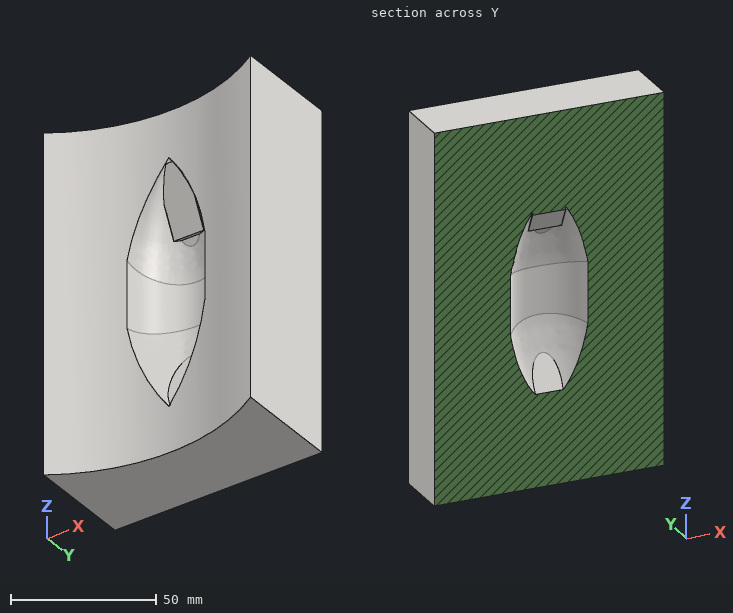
import cadquery as cq
import math

width = 86.99
height = 140.0
depth = 43.18
web_thickness = 30.0
rim_depth = depth - web_thickness

spindle_half_length = 50.9
spindle_radius = 17.6
waist_radius = 16.5
waist_offset = 0.6

flat_lean = 26.2
flat_tip_height = 48.4
flat_tip_depth = 1.7

pad_width = 12.6
pad_bottom = 25.2
pad_top = 49.0
pad_rise = 1.0


def make_block():
    """Upright block with a concave cylindrical front."""
    half_width = width / 2
    return (
        cq.Workplane("XY")
        .workplane(offset=-height / 2)
        .moveTo(-half_width, web_thickness)
        .lineTo(half_width, web_thickness)
        .lineTo(half_width, -rim_depth)
        .threePointArc((0, 0), (-half_width, -rim_depth))
        .close()
        .extrude(height)
    )


def make_spindle():
    """Pointed spindle along Z with its belly trimmed to the waist cylinder."""
    spindle = (
        cq.Workplane("YZ")
        .moveTo(0, -spindle_half_length)
        .threePointArc((spindle_radius, 0), (0, spindle_half_length))
        .close()
        .revolve(360, (0, 0, 0), (0, 1, 0))
    )
    waist = (
        cq.Workplane("XY")
        .center(0, waist_offset)
        .circle(waist_radius)
        .extrude(spindle_half_length, both=True)
    )
    return spindle.intersect(waist)


def flat_depth(z):
    """Y of the upper flat at height z."""
    return flat_tip_depth + (flat_tip_height - z) * math.tan(math.radians(flat_lean))


def make_upper_flat_fill():
    """Material left standing behind the upper flat, wider than the pocket."""
    top = spindle_half_length
    return (
        cq.Workplane("YZ")
        .moveTo(flat_depth(top), top)
        .lineTo(flat_depth(0), 0)
        .lineTo(flat_depth(0), top)
        .close()
        .extrude(spindle_radius, both=True)
    )


def make_pad():
    """Pad standing forward of the upper flat, with level ends."""
    forward = pad_rise / math.cos(math.radians(flat_lean))
    return (
        cq.Workplane("YZ")
        .moveTo(flat_depth(pad_top) - forward, pad_top)
        .lineTo(flat_depth(pad_bottom) - forward, pad_bottom)
        .lineTo(web_thickness, pad_bottom)
        .lineTo(web_thickness, pad_top)
        .close()
        .extrude(pad_width / 2, both=True)
    )


upper_fill = make_upper_flat_fill()
lower_fill = upper_fill.mirror("XY")
pocket = make_spindle().cut(upper_fill).cut(lower_fill).cut(make_pad())

result = make_block().cut(pocket)